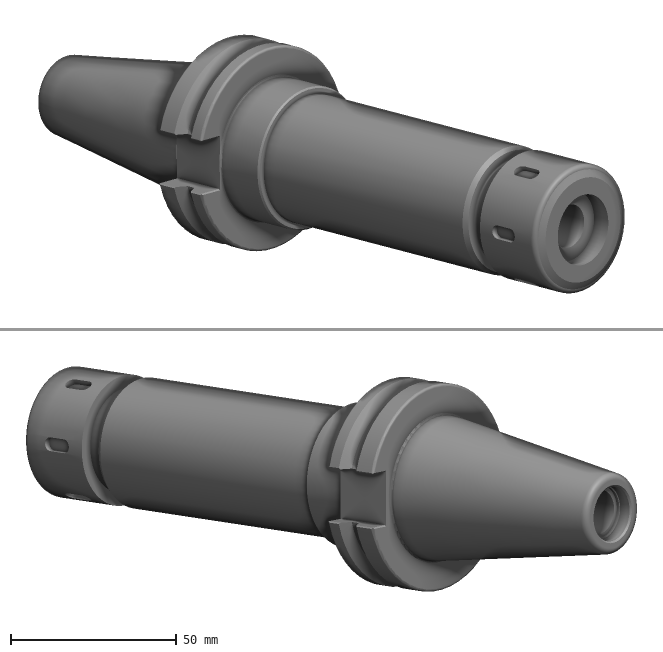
import cadquery as cq
import math

TAPER_LENGTH = 68.25
GAUGE_DIAMETER = 44.45
TAPER_RATIO = 7 / 24
TAIL_DIAMETER = GAUGE_DIAMETER - TAPER_LENGTH * TAPER_RATIO
TAIL_FILLET = 2.0
PROJECTION = 150.0
TOTAL_LENGTH = TAPER_LENGTH + PROJECTION

FLANGE_DIAMETER = 63.5
FLANGE_START = TAPER_LENGTH + 1.0
FLANGE_END = TAPER_LENGTH + 19.05
FLANGE_FILLET = 0.8
GROOVE_CENTER = TAPER_LENGTH + 11.1
GROOVE_FLOOR_DIAMETER = 56.36
GROOVE_FLOOR_WIDTH = 2.9
GROOVE_FLANK_ANGLE = 30.0
GROOVE_DEPTH = (FLANGE_DIAMETER - GROOVE_FLOOR_DIAMETER) / 2
GROOVE_MOUTH_WIDTH = GROOVE_FLOOR_WIDTH + 2 * GROOVE_DEPTH * math.tan(math.radians(GROOVE_FLANK_ANGLE))

DRIVE_SLOT_WIDTH = 16.38
DRIVE_SLOT_CHAMFER = 0.385
DRIVE_SLOT_FLOORS = {+1: 24.5, -1: 22.6}

COLLAR_END = TAPER_LENGTH + 35.0
COLLAR_CHAMFER = 0.5
ROOT_FILLET = 0.6
BODY_DIAMETER = 40.0
BODY_END = 188.4
BODY_CHAMFER_LENGTH = 1.5
BODY_CHAMFER_DEPTH = 1.0
NECK_DIAMETER = 32.0

BORE_DIAMETER = 13.39
TAIL_MOUTH_CHAMFER = 0.5
TAIL_BORE_DIAMETER = 16.78
TAIL_BORE_DEPTH = 4.2
TAIL_STEP_DIAMETER = 16.0
TAIL_STEP_DEPTH = 5.2

NUT_DIAMETER = 40.0
NUT_LENGTH = 24.0
NUT_START = TOTAL_LENGTH - NUT_LENGTH
NUT_LIP_LENGTH = 1.0
NUT_LIP_DIAMETER = 32.5
NUT_FRONT_FILLET = 1.5
NUT_FRONT_WALL = 6.0
NUT_FRONT_BORE_DIAMETER = 22.0
NECK_END = TOTAL_LENGTH - NUT_FRONT_WALL

WRENCH_SLOT_COUNT = 6
WRENCH_SLOT_LENGTH = 9.5
WRENCH_SLOT_WIDTH = 4.25
WRENCH_SLOT_DEPTH = 2.0
WRENCH_SLOT_CENTER = TOTAL_LENGTH - 14.1


def x_cylinder(diameter, start, end):
    """Cylinder on the X axis between two X positions."""
    return cq.Workplane("YZ", origin=(start, 0, 0)).circle(diameter / 2).extrude(end - start)


def make_taper():
    """Taper shank with a rounded small end."""
    taper = (
        cq.Workplane("XY")
        .moveTo(0, 0)
        .lineTo(0, TAIL_DIAMETER / 2)
        .lineTo(TAPER_LENGTH, GAUGE_DIAMETER / 2)
        .lineTo(TAPER_LENGTH, 0)
        .close()
        .revolve(360, (0, 0, 0), (1, 0, 0))
    )
    return taper.faces("<X").edges().fillet(TAIL_FILLET)


def make_flange():
    """Rounded tool-changer flange with a V groove and two drive slots of different depth."""
    flange = x_cylinder(FLANGE_DIAMETER, FLANGE_START, FLANGE_END)
    flange = flange.faces("<X or >X").edges().fillet(FLANGE_FILLET)

    rim = FLANGE_DIAMETER / 2
    floor = GROOVE_FLOOR_DIAMETER / 2
    groove = (
        cq.Workplane("XY")
        .moveTo(GROOVE_CENTER - GROOVE_MOUTH_WIDTH / 2, rim)
        .lineTo(GROOVE_CENTER - GROOVE_FLOOR_WIDTH / 2, floor)
        .lineTo(GROOVE_CENTER + GROOVE_FLOOR_WIDTH / 2, floor)
        .lineTo(GROOVE_CENTER + GROOVE_MOUTH_WIDTH / 2, rim)
        .close()
        .revolve(360, (0, 0, 0), (1, 0, 0))
    )
    flange = flange.cut(groove)

    for side, floor_distance in DRIVE_SLOT_FLOORS.items():
        flange = flange.cut(make_drive_slot(side, floor_distance))
    return flange


def make_drive_slot(side, floor_distance):
    """Cutter for one drive slot; its flared ends and mouth leave chamfers on the slot walls."""
    length = FLANGE_END - FLANGE_START
    flared_width = DRIVE_SLOT_WIDTH + 2 * DRIVE_SLOT_CHAMFER
    height = FLANGE_DIAMETER
    slot = cq.Workplane("XY").box(length, height, DRIVE_SLOT_WIDTH)
    slot = slot.translate(((FLANGE_START + FLANGE_END) / 2, side * (floor_distance + height / 2), 0))
    for face_x, inward in ((FLANGE_START, 1), (FLANGE_END, -1)):
        flare = (
            cq.Workplane("XY")
            .moveTo(face_x, -flared_width / 2)
            .lineTo(face_x + inward * DRIVE_SLOT_CHAMFER, -DRIVE_SLOT_WIDTH / 2)
            .lineTo(face_x + inward * DRIVE_SLOT_CHAMFER, DRIVE_SLOT_WIDTH / 2)
            .lineTo(face_x, flared_width / 2)
            .close()
            .extrude(side * height)
            .rotate((0, 0, 0), (1, 0, 0), -90)
        )
        slot = slot.union(flare.translate((0, side * floor_distance, 0)))

    half_rim = math.sqrt((FLANGE_DIAMETER / 2) ** 2 - (flared_width / 2) ** 2)
    mouth_flare = (
        cq.Workplane("YZ", origin=(FLANGE_START, 0, 0))
        .moveTo(side * (half_rim - DRIVE_SLOT_CHAMFER), -DRIVE_SLOT_WIDTH / 2)
        .lineTo(side * half_rim, -flared_width / 2)
        .lineTo(side * FLANGE_DIAMETER / 2, -flared_width / 2)
        .lineTo(side * FLANGE_DIAMETER / 2, flared_width / 2)
        .lineTo(side * half_rim, flared_width / 2)
        .lineTo(side * (half_rim - DRIVE_SLOT_CHAMFER), DRIVE_SLOT_WIDTH / 2)
        .close()
        .extrude(length)
    )
    return slot.union(mouth_flare)


def make_body():
    """Long cylinder with a chamfered front edge."""
    body = x_cylinder(BODY_DIAMETER, COLLAR_END, BODY_END)
    return body.faces(">X").edges().chamfer(BODY_CHAMFER_LENGTH, BODY_CHAMFER_DEPTH)


def root_ring(diameter, corner_x, direction):
    """Concave fillet ring where a cylinder meets a shoulder; direction points away from the shoulder."""
    inner = diameter / 2
    end_x = corner_x + direction * ROOT_FILLET
    return (
        cq.Workplane("XY")
        .moveTo(corner_x, inner)
        .lineTo(corner_x, inner + ROOT_FILLET)
        .radiusArc((end_x, inner), -direction * ROOT_FILLET)
        .close()
        .revolve(360, (0, 0, 0), (1, 0, 0))
    )


def make_bore():
    """Through bore with a stepped, chamfered entry at the tail."""
    mouth_radius = TAIL_BORE_DIAMETER / 2 + TAIL_MOUTH_CHAMFER
    return (
        cq.Workplane("XY")
        .moveTo(0, 0)
        .lineTo(0, mouth_radius)
        .lineTo(TAIL_MOUTH_CHAMFER, TAIL_BORE_DIAMETER / 2)
        .lineTo(TAIL_BORE_DEPTH, TAIL_BORE_DIAMETER / 2)
        .lineTo(TAIL_BORE_DEPTH, TAIL_STEP_DIAMETER / 2)
        .lineTo(TAIL_STEP_DEPTH, TAIL_STEP_DIAMETER / 2)
        .lineTo(TAIL_STEP_DEPTH, BORE_DIAMETER / 2)
        .lineTo(NECK_END, BORE_DIAMETER / 2)
        .lineTo(NECK_END, 0)
        .close()
        .revolve(360, (0, 0, 0), (1, 0, 0))
    )


def make_holder():
    """Taper, flange, collar, body and neck in one piece, bored from end to end."""
    collar = x_cylinder(GAUGE_DIAMETER, TAPER_LENGTH, COLLAR_END)
    collar = collar.faces(">X").edges().chamfer(COLLAR_CHAMFER)
    flange = make_flange()
    flange_roots = root_ring(GAUGE_DIAMETER, FLANGE_START, -1).union(root_ring(GAUGE_DIAMETER, FLANGE_END, 1))

    holder = make_taper().union(collar).union(flange).union(flange_roots)
    holder = holder.union(make_body())
    holder = holder.union(x_cylinder(NECK_DIAMETER, BODY_END, NECK_END))
    holder = holder.union(root_ring(NECK_DIAMETER, BODY_END, 1))
    return holder.cut(make_bore())


def make_nut():
    """Collet nut seated over the neck, with wrench slots around its rim."""
    shoulder = TOTAL_LENGTH - NUT_LIP_LENGTH
    outer = NUT_DIAMETER / 2
    lip_base = outer - NUT_FRONT_FILLET
    nut = (
        cq.Workplane("XY")
        .moveTo(NUT_START, 0)
        .lineTo(NUT_START, outer)
        .lineTo(shoulder - NUT_FRONT_FILLET, outer)
        .radiusArc((shoulder, lip_base), NUT_FRONT_FILLET)
        .lineTo(TOTAL_LENGTH, NUT_LIP_DIAMETER / 2)
        .lineTo(TOTAL_LENGTH, 0)
        .close()
        .revolve(360, (0, 0, 0), (1, 0, 0))
    )
    nut = nut.cut(x_cylinder(NECK_DIAMETER, NUT_START, NECK_END))
    nut = nut.cut(x_cylinder(NUT_FRONT_BORE_DIAMETER, NECK_END, TOTAL_LENGTH))

    slot = (
        cq.Workplane("XZ", origin=(WRENCH_SLOT_CENTER, -(outer - WRENCH_SLOT_DEPTH), 0))
        .slot2D(WRENCH_SLOT_LENGTH, WRENCH_SLOT_WIDTH)
        .extrude(2 * WRENCH_SLOT_DEPTH)
    )
    for index in range(WRENCH_SLOT_COUNT):
        angle = index * 360 / WRENCH_SLOT_COUNT
        nut = nut.cut(slot.rotate((0, 0, 0), (1, 0, 0), angle))
    return nut


holder = make_holder()
nut = make_nut()
result = cq.Compound.makeCompound([holder.val(), nut.val()])